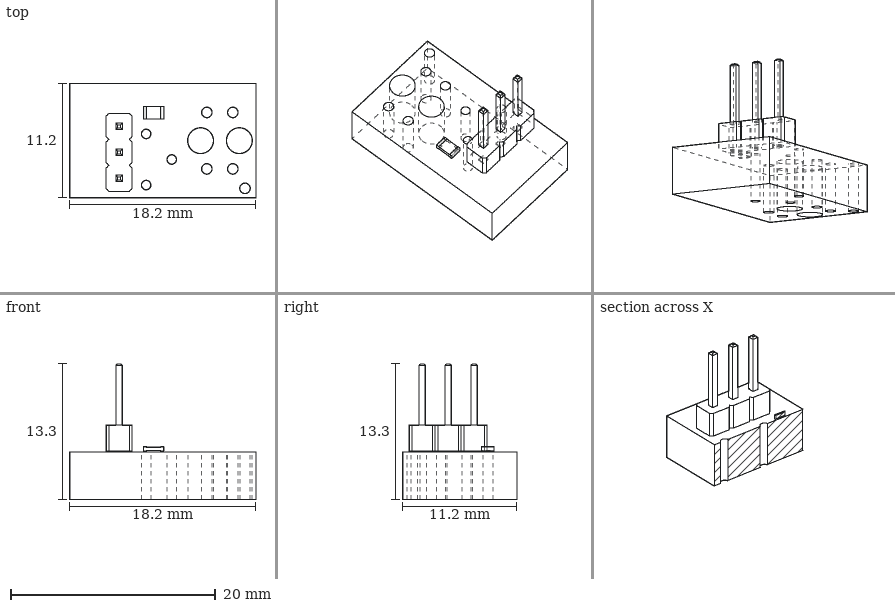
import cadquery as cq

board_length = 18.25
board_width = 11.18
total_height = 13.28

pitch = 2.54
pin_count = 3
pin_size = 0.64
pin_exposed = 6.0
pin_tip_height = 0.15
pin_tip_inset = 0.17
housing_width = 2.54
housing_height = 2.54
housing_chamfer = 0.27
standoff = 0.08
header_x = -4.28
header_y = -1.14

board_height = total_height - pin_exposed - housing_height - standoff
housing_bottom = board_height + standoff

socket_diameter = 2.5
socket_centers = [(3.69, 0), (7.48, 0)]
contact_diameter = 1.0
contact_xs = (4.3, 6.84)
contact_y = 2.76
corner_hole_center = (8.03, -4.66)
pad_diameter = 0.9
pad_spacing = 2.5
pad_x = -1.63
pad_middle_y = -1.84

chip_length = 2.0
chip_width = 1.22
chip_height = 0.45
chip_x = -0.91
chip_y = 2.75
terminal_length = 0.3
terminal_thickness = 0.05
terminal_round = 0.045


def make_board():
    """Plain block with every hole running right through it."""
    contact_centers = [(x, y) for x in contact_xs for y in (-contact_y, contact_y)]
    pad_centers = [
        (pad_x, pad_middle_y - pad_spacing),
        (pad_x + pad_spacing, pad_middle_y),
        (pad_x, pad_middle_y + pad_spacing),
    ]
    holes = [
        (socket_diameter, socket_centers),
        (contact_diameter, contact_centers + [corner_hole_center]),
        (pad_diameter, pad_centers),
    ]
    block = cq.Workplane("XY", origin=(0, 0, board_height / 2)).box(board_length, board_width, board_height)
    for diameter, centers in holes:
        block = block.cut(cq.Workplane("XY").pushPoints(centers).circle(diameter / 2).extrude(board_height))
    return block


def make_pin(y):
    """Square pin from the board's top to a tapered tip."""
    shaft_length = total_height - board_height - pin_tip_height
    tip_size = pin_size - 2 * pin_tip_inset
    shaft = (
        cq.Workplane("XY", origin=(header_x, y, board_height))
        .rect(pin_size, pin_size)
        .extrude(shaft_length)
    )
    tip = (
        shaft.faces(">Z").workplane()
        .rect(pin_size, pin_size)
        .workplane(offset=pin_tip_height)
        .rect(tip_size, tip_size)
        .loft(combine=False)
    )
    return shaft.union(tip)


def make_header():
    """Housing of chamfered cells in a row, with a pin standing through each cell."""
    header = None
    for index in range(pin_count):
        y = header_y + (index - (pin_count - 1) / 2) * pitch
        cell = (
            cq.Workplane("XY", origin=(header_x, y, housing_bottom))
            .rect(housing_width, pitch)
            .extrude(housing_height)
            .edges("|Z")
            .chamfer(housing_chamfer)
            .union(make_pin(y))
        )
        header = cell if header is None else header.union(cell)
    return header


def make_chip():
    """Thin block with a sheet terminal folded around each end, rounded at its folds and its free edges."""
    center_z = housing_bottom + chip_height / 2
    body_length = chip_length - 2 * terminal_thickness
    body_height = chip_height - 2 * terminal_thickness
    chip = cq.Workplane("XY", origin=(chip_x, chip_y, center_z)).box(body_length, chip_width, body_height)
    for side in (-1, 1):
        terminal_x = chip_x + side * (chip_length - terminal_length) / 2
        terminal = (
            cq.Workplane("XY", origin=(terminal_x, chip_y, center_z))
            .box(terminal_length, chip_width, chip_height)
            .edges("|Y")
            .fillet(terminal_round)
        )
        chip = chip.union(terminal)
    return chip


board = make_board()
header = make_header()
chip = make_chip()

result = cq.Compound.makeCompound([board.val(), header.val(), chip.val()])